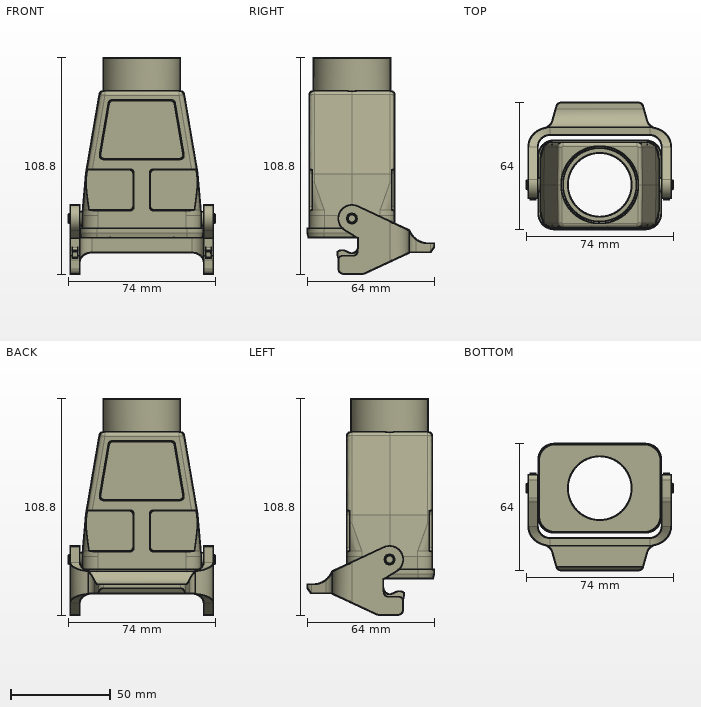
import cadquery as cq
import math

total_height = 108.8
flange_bottom_z = 18.4
flange_taper_z = 20.8
flange_top_z = 23.0
skirt_top_z = 29.6
round_end_z = 32.3
sharp_start_z = 46.3
waist_z = 50.6
shoulder_z = 92.2

half_depth = 21.5
skirt_half_width = 29.7
waist_half_width = 27.9
shoulder_half_width = 20.8
root_overlap = 2.2
wall_peak = 0.3
skirt_corner_radius = 7.6
upper_corner_radius = 2.5
shoulder_radius = 2.1

flange_half_width = 31.0
flange_half_depth = 22.5
flange_corner_radius = 8.3
flange_taper = 0.5

collar_diameter = 39.0
collar_bore_diameter = 37.0
collar_bore_bottom_z = 93.6
through_hole_diameter = 32.0
rim_chamfer = (collar_diameter - collar_bore_diameter) / 2

panel_depth = 1.5
panel_wall_inset = 0.4
panel_wall_angle = math.degrees(math.atan2(panel_wall_inset, panel_depth))
panel_corner_radius = 2.2
window_bottom_z = 57.7
window_top_z = 87.7
window_side_margin = 5.0
grip_bottom_z = 31.9
grip_top_z = 52.9
grip_inner_x = 3.9
grip_overrun = 5.4

pivot_z = 28.0
boss_diameter = 7.0
pin_diameter = 4.8
pin_tip_diameter = 4.0
pin_end_x = 37.0
pin_tip_length = 0.7
pin_hole_diameter = 5.1

leg_inner_x = 31.1
leg_thickness = 4.9
leg_outer_x = leg_inner_x + leg_thickness
leg_mid_x = (leg_inner_x + leg_outer_x) / 2
bend_start_y = 19.0
bend_inner_radius = 6.0
bend_outer_radius_x = bend_inner_radius + leg_thickness
bend_outer_radius_y = 9.9
bend_center_x = leg_inner_x - bend_inner_radius
back_inner_y = bend_start_y + bend_inner_radius
back_outer_y = bend_start_y + bend_outer_radius_y
bend_section_count = 7

head_radius = 6.9
edge_slope_angle = 25.0
edge_slope = math.tan(math.radians(edge_slope_angle))
head_under_angle = 32.0
hook_wall_y = 3.0
hook_end_y = -6.9
hook_ledge_z = 9.1
hook_root_radius = 2.8
hook_tip_radius = 2.0
hook_bottom_radius = 2.7
bottom_corner_y = 5.9
bottom_corner_radius = 4.4

rib_width = 2.8
rib_overlap = 1.1
rib_root_top_z = 13.6
rib_valley_y = 0.4
rib_valley_z = 10.5
rib_valley_radius = 3.5
rib_valley_end_y = -0.7
rib_rise_y = -2.9
rib_rise_z = 11.5
rib_crest_y = -5.2
rib_crest_z = 12.1
rib_nose_y = -7.4
rib_nose_z = 11.2
rib_end_y = -7.2
rib_bottom_z = 8.4

handle_end_y = 41.5
handle_top_z = 15.6
handle_bottom_z = 10.9
handle_flat_start_y = 38.3
handle_tip_chamfer_y = 2.0
handle_tip_chamfer_z = 2.7
handle_root_half_width = 26.9
handle_neck_half_width = 23.9
handle_neck_y = 32.2
handle_tip_half_width = 21.3
handle_corner_radius = 2.7


def wall_half_width(z):
    """Half width of the housing at its corners at height z."""
    if z <= skirt_top_z:
        return skirt_half_width
    if z <= waist_z:
        rise = (z - skirt_top_z) / (waist_z - skirt_top_z)
        return skirt_half_width + rise * (waist_half_width - skirt_half_width)
    rise = (z - waist_z) / (shoulder_z - waist_z)
    return waist_half_width + rise * (shoulder_half_width - waist_half_width)


def body_section(z, corner_radius):
    """Horizontal outline of the housing with rounded corners."""
    half_width = wall_half_width(z)
    peak_x = half_width + wall_peak
    points = [
        (peak_x, 0),
        (half_width, half_depth),
        (-half_width, half_depth),
        (-peak_x, 0),
        (-half_width, -half_depth),
        (half_width, -half_depth),
    ]
    outline = cq.Wire.makePolygon([cq.Vector(x, y, z) for x, y in points], close=True)
    corners = [v for v in outline.Vertices() if abs(v.Y) > half_depth / 2]
    return outline.fillet2D(corner_radius, corners)


def make_body():
    levels = [
        (flange_bottom_z, skirt_corner_radius),
        (skirt_top_z, skirt_corner_radius),
        (round_end_z, skirt_corner_radius),
        (sharp_start_z, upper_corner_radius),
        (waist_z, upper_corner_radius),
        (shoulder_z, upper_corner_radius),
    ]
    sections = [body_section(z, radius) for z, radius in levels]
    body = cq.Workplane(cq.Solid.makeLoft(sections, True))
    return body.clean().faces(">Z").edges().fillet(shoulder_radius)


def flange_plate(z):
    return (
        cq.Workplane("XY", origin=(0, 0, z))
        .sketch()
        .rect(2 * flange_half_width, 2 * flange_half_depth)
        .vertices()
        .fillet(flange_corner_radius)
        .finalize()
    )


def make_flange():
    rim = flange_plate(flange_taper_z).extrude(flange_top_z - flange_taper_z)
    taper_height = flange_taper_z - flange_bottom_z
    taper_angle = math.degrees(math.atan2(flange_taper, taper_height))
    return rim.union(flange_plate(flange_taper_z).extrude(-taper_height, taper=taper_angle))


def make_window_panel():
    """Trapezoidal recess whose sides run parallel to the leaning end walls."""
    bottom_x = wall_half_width(window_bottom_z) - window_side_margin
    top_x = wall_half_width(window_top_z) - window_side_margin
    return (
        cq.Workplane("XZ", origin=(0, -half_depth, 0))
        .sketch()
        .polygon([
            (-bottom_x, window_bottom_z),
            (bottom_x, window_bottom_z),
            (top_x, window_top_z),
            (-top_x, window_top_z),
            (-bottom_x, window_bottom_z),
        ])
        .vertices()
        .fillet(panel_corner_radius)
        .finalize()
        .extrude(-panel_depth, taper=panel_wall_angle)
    )


def make_grip_panel(side):
    """Rectangular recess that is open through the corner of the housing."""
    width = skirt_half_width + grip_overrun - grip_inner_x
    height = grip_top_z - grip_bottom_z
    center_x = side * (grip_inner_x + width / 2)
    return (
        cq.Workplane("XZ", origin=(center_x, -half_depth, grip_bottom_z + height / 2))
        .sketch()
        .rect(width, height)
        .vertices("<X" if side > 0 else ">X")
        .fillet(panel_corner_radius)
        .finalize()
        .extrude(-panel_depth, taper=panel_wall_angle)
    )


def make_pivot(side):
    """Boss and pin on one end wall, with a tapered pin tip."""
    start_x = skirt_half_width - root_overlap
    return (
        cq.Workplane("YZ", origin=(side * start_x, 0, pivot_z))
        .circle(boss_diameter / 2)
        .extrude(side * (leg_inner_x - start_x))
        .union(
            cq.Workplane("YZ", origin=(side * start_x, 0, pivot_z))
            .circle(pin_diameter / 2)
            .extrude(side * (pin_end_x - start_x))
            .faces(">X" if side > 0 else "<X")
            .chamfer(pin_tip_length, (pin_diameter - pin_tip_diameter) / 2)
        )
    )


def cylinder(diameter, bottom_z, top_z):
    return cq.Workplane("XY", origin=(0, 0, bottom_z)).circle(diameter / 2).extrude(top_z - bottom_z)


def make_housing():
    housing = make_body().union(make_flange())
    panels = [make_window_panel(), make_grip_panel(1), make_grip_panel(-1)]
    for panel in panels:
        housing = housing.cut(panel).cut(panel.mirror("XZ"))
    collar_root_z = shoulder_z - root_overlap
    housing = housing.union(cylinder(collar_diameter, collar_root_z, total_height))
    housing = housing.cut(cylinder(collar_bore_diameter, collar_bore_bottom_z, total_height))
    housing = housing.cut(cylinder(through_hole_diameter, flange_bottom_z, total_height))
    rim_cone = cq.Solid.makeCone(
        collar_bore_diameter / 2,
        collar_diameter / 2,
        rim_chamfer,
        pnt=cq.Vector(0, 0, total_height - rim_chamfer),
    )
    housing = housing.cut(cq.Workplane(rim_cone))
    for side in (1, -1):
        housing = housing.union(make_pivot(side))
    return housing


slope_direction = math.radians(edge_slope_angle)
head_tangent_y = head_radius * math.sin(slope_direction)
head_tangent_z = pivot_z + head_radius * math.cos(slope_direction)


def top_edge_z(y):
    return head_tangent_z - edge_slope * (y - head_tangent_y)


def bottom_edge_z(y):
    return edge_slope * (y - bottom_corner_y)


def yz_plane(x):
    return cq.Workplane("YZ", origin=(x, 0, 0))


def make_leg(side):
    """Side plate with the pivot head above and the locking hook below."""
    under = math.radians(head_under_angle)
    under_y = -head_radius * math.sin(under)
    under_z = pivot_z - head_radius * math.cos(under)
    notch_top_z = under_z - math.tan(under) * (hook_wall_y - under_y)
    blend_length = bottom_corner_radius * math.tan(slope_direction / 2)
    blend_end_y = bottom_corner_y + blend_length * math.cos(slope_direction)
    start_x = leg_inner_x if side > 0 else -leg_outer_x
    leg = (
        yz_plane(start_x)
        .moveTo(head_tangent_y, head_tangent_z)
        .threePointArc((-head_radius, pivot_z), (under_y, under_z))
        .lineTo(hook_wall_y, notch_top_z)
        .lineTo(hook_wall_y, hook_ledge_z + hook_root_radius)
        .radiusArc((hook_wall_y - hook_root_radius, hook_ledge_z), hook_root_radius)
        .lineTo(hook_end_y + hook_tip_radius, hook_ledge_z)
        .radiusArc((hook_end_y, hook_ledge_z - hook_tip_radius), -hook_tip_radius)
        .lineTo(hook_end_y, hook_bottom_radius)
        .radiusArc((hook_end_y + hook_bottom_radius, 0), -hook_bottom_radius)
        .lineTo(bottom_corner_y - blend_length, 0)
        .tangentArcPoint((blend_end_y, bottom_edge_z(blend_end_y)), relative=False)
        .lineTo(bend_start_y, bottom_edge_z(bend_start_y))
        .lineTo(bend_start_y, top_edge_z(bend_start_y))
        .close()
        .extrude(leg_thickness)
    )
    pin_hole = yz_plane(start_x).center(0, pivot_z).circle(pin_hole_diameter / 2).extrude(leg_thickness)
    return leg.cut(pin_hole)


def make_rib(side):
    """Raised tongue along the middle of the hook."""
    rib_root_z = hook_ledge_z - hook_tip_radius
    return (
        yz_plane(side * leg_mid_x - rib_width / 2)
        .moveTo(hook_wall_y, rib_root_top_z)
        .radiusArc((rib_valley_y, rib_valley_z), rib_valley_radius)
        .lineTo(rib_valley_end_y, rib_valley_z)
        .lineTo(rib_rise_y, rib_rise_z)
        .threePointArc((rib_crest_y, rib_crest_z), (rib_nose_y, rib_nose_z))
        .lineTo(rib_end_y, rib_bottom_z)
        .lineTo(hook_end_y + hook_tip_radius, rib_root_z)
        .lineTo(hook_wall_y + rib_overlap, rib_root_z)
        .lineTo(hook_wall_y + rib_overlap, rib_root_top_z)
        .close()
        .extrude(rib_width)
    )


def bend_section(angle):
    """Radial cross-section of the right-hand bend; its edges stay level across the sheet."""
    drop_y = bend_outer_radius_y * math.sin(angle)
    low_z = bottom_edge_z(bend_start_y + drop_y)
    high_z = top_edge_z(bend_start_y + drop_y)
    inner_x = bend_center_x + bend_inner_radius * math.cos(angle)
    inner_y = bend_start_y + bend_inner_radius * math.sin(angle)
    outer_x = bend_center_x + bend_outer_radius_x * math.cos(angle)
    outer_y = bend_start_y + drop_y
    corners = [
        (inner_x, inner_y, low_z),
        (outer_x, outer_y, low_z),
        (outer_x, outer_y, high_z),
        (inner_x, inner_y, high_z),
    ]
    return cq.Wire.makePolygon([cq.Vector(*corner) for corner in corners], close=True)


def make_bend():
    step = math.pi / 2 / (bend_section_count - 1)
    sections = [bend_section(i * step) for i in range(bend_section_count)]
    return cq.Workplane(cq.Solid.makeLoft(sections))


def make_back():
    low_z = bottom_edge_z(back_outer_y)
    return (
        cq.Workplane("XY", origin=(0, (back_inner_y + back_outer_y) / 2, low_z))
        .rect(2 * bend_center_x, back_outer_y - back_inner_y)
        .extrude(top_edge_z(back_outer_y) - low_z)
    )


def make_handle():
    """Thumb grip: a side profile trimmed to its outline seen from above."""
    root_z = top_edge_z(back_outer_y)
    run = handle_flat_start_y - back_outer_y
    fall = root_z - handle_top_z
    curve_radius = (run**2 + fall**2) / (2 * fall)
    profile = (
        yz_plane(-handle_root_half_width)
        .moveTo(back_inner_y, handle_bottom_z)
        .lineTo(back_inner_y, root_z)
        .lineTo(back_outer_y, root_z)
        .radiusArc((handle_flat_start_y, handle_top_z), -curve_radius)
        .lineTo(handle_end_y, handle_top_z)
        .lineTo(handle_end_y, handle_bottom_z + handle_tip_chamfer_z)
        .lineTo(handle_end_y - handle_tip_chamfer_y, handle_bottom_z)
        .close()
        .extrude(2 * handle_root_half_width)
    )
    half_outline = (
        cq.Workplane("XY")
        .moveTo(0, handle_end_y)
        .lineTo(handle_tip_half_width, handle_end_y)
        .lineTo(handle_neck_half_width, handle_neck_y)
        .tangentArcPoint((handle_root_half_width, back_outer_y), relative=False)
        .lineTo(bend_center_x, back_inner_y)
        .lineTo(0, back_inner_y)
        .close()
        .extrude(root_z)
        .edges("|Z")
        .edges(">Y")
        .edges(">X")
        .fillet(handle_corner_radius)
    )
    outline = half_outline.union(half_outline.mirror("YZ"))
    return profile.intersect(outline)


def make_lever():
    lever = make_back().union(make_handle())
    bend = make_bend()
    lever = lever.union(bend).union(bend.mirror("YZ"))
    for side in (1, -1):
        lever = lever.union(make_leg(side)).union(make_rib(side))
    return lever


housing = make_housing()
lever = make_lever()

result = cq.Compound.makeCompound([housing.solids().val(), lever.solids().val()])